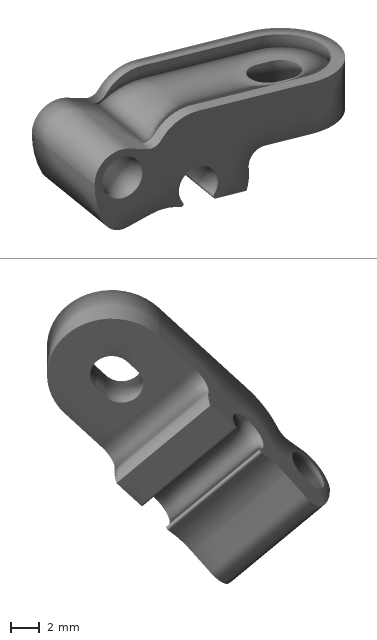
import cadquery as cq
import math

width = 9.0
length = 21.77
height = 7.75
arm_thickness = 4.0
end_radius = width / 2
end_center_y = length - end_radius

pin_radius = 1.6
knuckle_radius = 2.2
knuckle_center = (knuckle_radius, 4.03)
saddle_angle = math.radians(15.5)

bend_y = 8.25
rim_bend_radius = 3.6
rim_fillet = 1.0
floor_bend_radius = 5.6
floor_fillet = 0.5

wall = 1.0
pocket_depth = 1.0
slot_width = 3.0
slot_length = 4.0

groove_radius = 1.55
groove_center = (bend_y, 1.85)
heel_radius = 4.03
heel_z = 0.59
lip_radius = 0.2
arm_fillet = 1.3

toe_radius = 1.52
front_radius = 6.97
arch_radius = 3.85
arch_top_z = 0.795


def polar(center, radius, angle):
    return (center[0] + radius * math.cos(angle), center[1] + radius * math.sin(angle))


def direction(start, end):
    return math.atan2(end[1] - start[1], end[0] - start[0])


def arc(sketch, center, radius, start, end):
    """Add the arc between two angles; the sign of the sweep sets its sense."""
    return sketch.threePointArc(polar(center, radius, (start + end) / 2), polar(center, radius, end))


def saddle_bend(sketch, top_z, bend_radius, fillet_radius):
    """Run from the knuckle tangent along the flat, through a fillet and up the bend to top_z."""
    normal = math.pi / 2 - saddle_angle
    bend_center = (bend_y, top_z - bend_radius)
    line_base = polar(knuckle_center, knuckle_radius + fillet_radius, normal)
    reach = math.dist(line_base, bend_center)
    turn = direction(line_base, bend_center) + saddle_angle
    along = reach * math.cos(turn) - math.sqrt(
        (bend_radius + fillet_radius) ** 2 - (reach * math.sin(turn)) ** 2
    )
    fillet_center = polar(line_base, along, -saddle_angle)
    fillet_start = normal - math.pi
    fillet_end = direction(fillet_center, bend_center)
    sketch = sketch.lineTo(*polar(fillet_center, fillet_radius, fillet_start))
    sketch = arc(sketch, fillet_center, fillet_radius, fillet_start, fillet_end)
    return arc(sketch, bend_center, bend_radius, fillet_end + math.pi, math.pi / 2)


def side_profile():
    """Closed outline of the part in the YZ plane."""
    arm_bottom = height - arm_thickness
    normal = math.pi / 2 - saddle_angle

    sketch = cq.Workplane("YZ").moveTo(*polar(knuckle_center, knuckle_radius, math.pi))
    sketch = arc(sketch, knuckle_center, knuckle_radius, math.pi, normal)
    sketch = saddle_bend(sketch, height, rim_bend_radius, rim_fillet)
    sketch = sketch.lineTo(length, height).lineTo(length, arm_bottom)

    fillet_z = arm_bottom - arm_fillet
    fillet_offset = math.sqrt((heel_radius + arm_fillet) ** 2 - (fillet_z - groove_center[1]) ** 2)
    fillet_center = (groove_center[0] + fillet_offset, fillet_z)
    heel_start = direction(groove_center, fillet_center)
    heel_end = math.asin((heel_z - groove_center[1]) / heel_radius)
    sketch = sketch.lineTo(fillet_center[0], arm_bottom)
    sketch = arc(sketch, fillet_center, arm_fillet, math.pi / 2, heel_start + math.pi)
    sketch = arc(sketch, groove_center, heel_radius, heel_start, heel_end)

    lip_z = heel_z + lip_radius
    lip_angle = math.asin((lip_z - groove_center[1]) / (groove_radius + lip_radius))
    rear_lip = polar(groove_center, groove_radius + lip_radius, lip_angle)
    front_lip = polar(groove_center, groove_radius + lip_radius, math.pi - lip_angle)
    sketch = sketch.lineTo(rear_lip[0], heel_z)
    sketch = arc(sketch, rear_lip, lip_radius, 1.5 * math.pi, lip_angle + math.pi)
    sketch = arc(sketch, groove_center, groove_radius, lip_angle, math.pi - lip_angle)

    arch_z = arch_top_z - arch_radius
    arch_offset = math.sqrt((arch_radius + lip_radius) ** 2 - (lip_z - arch_z) ** 2)
    arch_center = (front_lip[0] - arch_offset, arch_z)
    lip_end = direction(front_lip, arch_center)
    sketch = arc(sketch, front_lip, lip_radius, -lip_angle, lip_end)

    front_center = (front_radius, knuckle_center[1])
    toe_drop = knuckle_center[1] - toe_radius
    toe_y = front_radius - math.sqrt((front_radius - toe_radius) ** 2 - toe_drop**2)
    toe_center = (toe_y, toe_radius)
    center_gap = math.dist(arch_center, toe_center)
    tangent = direction(arch_center, toe_center) - math.acos((arch_radius + toe_radius) / center_gap)
    toe_end = direction(front_center, toe_center) % (2 * math.pi)
    sketch = arc(sketch, arch_center, arch_radius, lip_end + math.pi, tangent)
    sketch = sketch.lineTo(*polar(toe_center, toe_radius, tangent + math.pi))
    sketch = arc(sketch, toe_center, toe_radius, tangent + math.pi, toe_end)
    sketch = arc(sketch, front_center, front_radius, toe_end, math.pi)
    return sketch.close()


def rounded_plan(plan_width):
    """Tall prism open to the knuckle end, with a round far end centered on the arm."""
    half = plan_width / 2
    return (
        cq.Workplane("XY")
        .moveTo(-half, 0)
        .lineTo(half, 0)
        .lineTo(half, end_center_y)
        .threePointArc((0, end_center_y + half), (-half, end_center_y))
        .close()
        .extrude(height)
    )


def pocket():
    """Recess between the side walls, following the floor down to the saddle flat."""
    floor_z = height - pocket_depth
    knuckle_tangent = polar(knuckle_center, knuckle_radius, math.pi / 2 - saddle_angle)
    sketch = cq.Workplane("YZ").moveTo(*knuckle_tangent)
    sketch = saddle_bend(sketch, floor_z, floor_bend_radius, floor_fillet)
    sketch = sketch.lineTo(length, floor_z).lineTo(length, height).lineTo(knuckle_tangent[0], height)
    return sketch.close().extrude(end_radius, both=True).intersect(rounded_plan(width - 2 * wall))


def pin_hole():
    return cq.Workplane("YZ").center(*knuckle_center).circle(pin_radius).extrude(end_radius, both=True)


def slotted_hole():
    """Through slot whose far round end is concentric with the end of the arm."""
    slot_center_y = end_center_y - (slot_length - slot_width) / 2
    return cq.Workplane("XY").center(0, slot_center_y).slot2D(slot_length, slot_width, 90).extrude(height)


body = side_profile().extrude(end_radius, both=True).intersect(rounded_plan(width))
result = body.cut(pocket()).cut(pin_hole()).cut(slotted_hole())